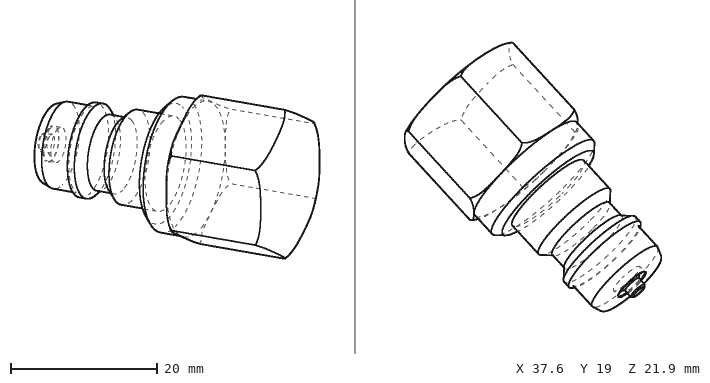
import cadquery as cq
import math

length = 37.58
across_flats = 19.0
across_corners = across_flats / math.cos(math.pi / 6)

nose_face = 1.4
nose_round_end = 1.75
nose_cone_end = 2.9
ring_start = 7.03
ring_chamfer_start = 8.08
neck_start = 9.45
neck_end = 11.95
body_start = 13.3
collar_start = 18.7
hex_start = 23.3

nose_face_radius = 5.1
nose_round_radius = 5.65
nose_radius = 6.05
ring_radius = 6.6
neck_radius = 5.3
collar_radius = 9.45
collar_chamfer = 1.05
ring_fillet = 0.25

front_crown_length = 0.8
front_crown_radius = 9.47
rear_crown_length = 0.85
rear_crown_radius = 9.1

stem_radius = 1.28
stem_chamfer = 0.23
recess_radius = 2.55
recess_lip = 0.1
poppet_start = 1.4


def revolve_about_x(profile):
    """Turn a closed XY profile around the X axis."""
    return profile.revolve(360, (0, 0, 0), (1, 0, 0))


def make_turned_body():
    """Nose, retaining ring, neck, shank and collar as one turned piece."""
    outline = (
        cq.Workplane("XY")
        .moveTo(nose_face, 0)
        .lineTo(nose_face, nose_face_radius)
        .tangentArcPoint((nose_round_end, nose_round_radius), relative=False)
        .lineTo(nose_cone_end, nose_radius)
        .lineTo(ring_start - ring_fillet, nose_radius)
        .radiusArc((ring_start, nose_radius + ring_fillet), -ring_fillet)
        .lineTo(ring_start, ring_radius)
        .lineTo(ring_chamfer_start, ring_radius)
        .lineTo(neck_start, neck_radius)
        .lineTo(neck_end, neck_radius)
        .lineTo(body_start, ring_radius)
        .lineTo(collar_start, ring_radius)
        .lineTo(collar_start, collar_radius - collar_chamfer)
        .lineTo(collar_start + collar_chamfer, collar_radius)
        .lineTo(hex_start, collar_radius)
        .lineTo(hex_start, 0)
        .close()
    )
    return revolve_about_x(outline)


def crown_arc_radius(crown_length, rise):
    """Radius of an arc that leaves the end face tangentially and gains the given rise."""
    return (crown_length**2 + rise**2) / (2 * crown_length)


def make_hexagon():
    """Hexagon with corners at top and bottom, its ends crowned by a turned shape."""
    prism = (
        cq.Workplane("YZ", origin=(hex_start, 0, 0))
        .polygon(6, across_corners)
        .extrude(length - hex_start)
        .rotate((0, 0, 0), (1, 0, 0), 90)
    )
    corner_radius = across_corners / 2
    front_arc = crown_arc_radius(front_crown_length, corner_radius - front_crown_radius)
    rear_arc = crown_arc_radius(rear_crown_length, corner_radius - rear_crown_radius)
    crown = (
        cq.Workplane("XY")
        .moveTo(hex_start, 0)
        .lineTo(hex_start, front_crown_radius)
        .radiusArc((hex_start + front_crown_length, corner_radius), front_arc)
        .lineTo(length - rear_crown_length, corner_radius)
        .radiusArc((length, rear_crown_radius), rear_arc)
        .lineTo(length, 0)
        .close()
    )
    return prism.intersect(revolve_about_x(crown))


def make_recess():
    """Ring-shaped recess between the nose bore and the 45 degree valve poppet."""
    bore_radius = recess_radius - recess_lip
    recess_end = poppet_start + bore_radius - stem_radius
    outline = (
        cq.Workplane("XY")
        .moveTo(nose_face, stem_radius)
        .lineTo(nose_face, recess_radius)
        .lineTo(nose_face + recess_lip, bore_radius)
        .lineTo(recess_end, bore_radius)
        .close()
    )
    return revolve_about_x(outline)


def make_stem():
    """Chamfered valve stem that stands out of the nose face."""
    stem = cq.Workplane("YZ").circle(stem_radius).extrude(nose_face)
    return stem.faces("<X").chamfer(stem_chamfer)


result = make_turned_body().union(make_hexagon()).cut(make_recess()).union(make_stem())